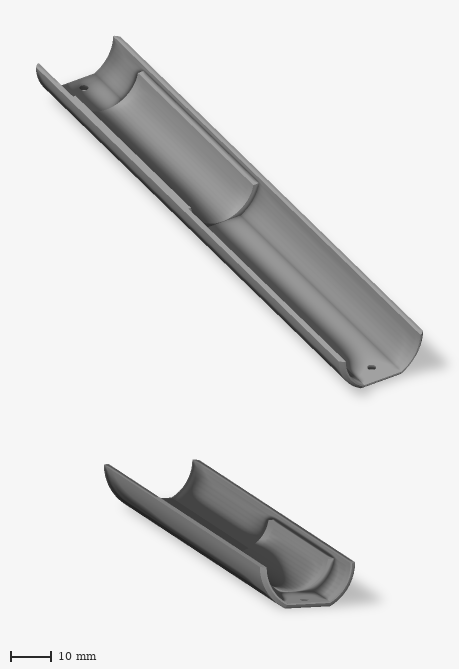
import cadquery as cq

length = 146.1
outer_radius = 12.3
height = 10.8
wall = 1.5
end_chamfer = 1.0

cradle_start = 14.6
cradle_length = 55.0
cradle_radius = 9.2
cradle_drop = 1.5

hole_diameter = 2.2
left_hole_inset = 3.8
right_hole_inset = 5.4

inner_radius = outer_radius - wall
floor_depth = height - wall


def half_round_bar(radius, depth, start, bar_length, top=0.0):
    """Bar along X of round section about the X axis, cut flat at z = top and z = -depth."""
    bar = cq.Workplane("YZ", origin=(start, 0, 0)).circle(radius).extrude(bar_length)
    slab = cq.Workplane("XY").box(
        bar_length, 2 * radius, depth + top, centered=(False, True, False)
    )
    return bar.intersect(slab.translate((start, 0, -depth)))


def make_trough():
    outside = half_round_bar(outer_radius, height, 0, length)
    outside = outside.faces("<X or >X").edges("not >Z").chamfer(end_chamfer)
    return outside.cut(half_round_bar(inner_radius, floor_depth, 0, length))


def make_cradle():
    blank = half_round_bar(
        inner_radius + wall / 2, floor_depth + wall / 2, cradle_start, cradle_length, -cradle_drop
    )
    bore = cq.Workplane("YZ", origin=(cradle_start, 0, 0)).circle(cradle_radius).extrude(cradle_length)
    return blank.cut(bore)


def make_screw_holes():
    centers = [(left_hole_inset, 0), (length - right_hole_inset, 0)]
    return cq.Workplane("XY").pushPoints(centers).circle(hole_diameter / 2).extrude(-height)


result = make_trough().union(make_cradle()).cut(make_screw_holes())